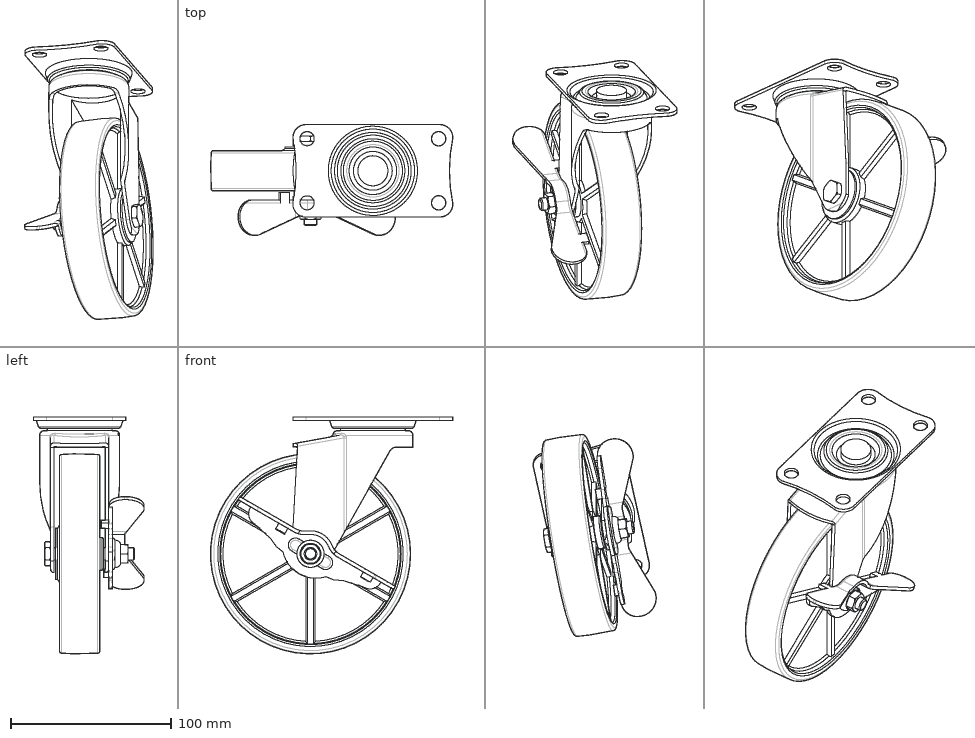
import cadquery as cq
import math


axle_radius = 4.0
swivel_x = 39.0

wheel_radius = 62.5
tread_edge_radius = 62.1
tread_half_width = 11.2
rim_half_width = 12.5
rim_shoulder_radius = 60.5
rim_lip_radius = 57.9
web_radius = 54.7
web_half_thickness = 8.0
web_fillet_height = 1.4
lip_chamfer = (1.2, 0.8)
tread_corner = (-0.5, 1.0)
rib_half_thickness = 10.6
rib_count = 6
rib_root_half_width = 2.9
rib_top_half_width = 1.8
hub_radius = 13.6
hub_root_radius = 14.2
rear_hub_radius = 17.9
rear_hub_face_radius = 16.0
rear_hub_cone_y = 13.8
hub_half_width = 15.0
front_boss_radius = 10.3
front_boss_chamfer = 0.9

sheet = 2.3
fork_inner = 15.9
fork_outer = fork_inner + sheet
leg_end_radius = 11.8
leg_front_x = -8.2
skirt_radius = 25.0
skirt_bottom = 66.5
crown_top = 77.0
crown_round = 3.0
ramp_slope = 0.18
ramp_height = 70.8
lip_x = -10.9
slant_top_x = 50.9
bend_radius = 2.1
crease_fillet = 2.3
skirt_corner_fillet = 4.5
collar_radius = 20.3
kingpin_radius = 9.4

plate_top = 85.5
plate_length = 100.0
plate_width = 57.9
plate_corner = 8.3
plate_waist = 2.1
hole_diameter = 8.8
hole_spacing_x = 82.1
hole_spacing_y = 40.0
bowl_bottom = 78.2
bowl_edge = 27.9
groove_floor = bowl_bottom + sheet
pin_seat = groove_floor + 0.6
ring_top = plate_top - 0.5
bowl_section = [
    (kingpin_radius, bowl_bottom),
    (kingpin_radius, pin_seat),
    (12.1, pin_seat),
    (14.8, ring_top - 0.5),
    (16.4, ring_top),
    (18.5, ring_top),
    (20.0, ring_top - 0.8),
    (22.3, groove_floor),
    (24.0, groove_floor),
    (26.0, plate_top - 0.9),
    (bowl_edge, plate_top),
    (bowl_edge, plate_top - sheet),
    (27.1, plate_top - sheet),
    (25.8, bowl_bottom + 1.0),
    (24.7, bowl_bottom),
]

lever_tilt = 30
lever_back = -fork_outer
lever_front = lever_back - sheet
boss_front = -22.0
flange_top = 9.0
arch_radius = 14.4
arch_blend = 12.1
lever_bend_radius = 2.0
lever_half_length = 47.0
lever_lower_edge = [
    (lever_half_length, 6.0), (44.8, 0.9), (39.4, -1.4), (26.2, -4.2), (20.6, -6.8), (15.5, -7.5),
]
ear_half_length = 56.0
ear_front = -40.5
flange_front = -28.2
ear_root = (12.9, flange_front)
ear_lobe_start = (42.4, -40.1)
ear_lobe_mid = (52.4, -37.3)
ear_tip = (ear_half_length, -28.0)
ear_shoulder = (53.8, -21.8)
ear_base = (lever_half_length, lever_back)
boss_half_spacing = 10.9
boss_radius = 4.4
boss_round = 1.4

stop_tabs = [(-26.7, -20.1, -13.5, 2.4), (34.2, 41.2, -15.0, 3.3)]

bolt_end = -34.2
bolt_chamfer = 0.8
head_top = 21.8
head_corners = 15.2
nut_flange_radius = 8.5
nut_flange_shoulder = (8.0, -24.1)
nut_flange_top_radius = 6.5
nut_flange_front = -25.5
nut_front = -30.3
nut_corners = 13.3
hex_chamfer = 0.6


def along_y(profile, y_from, y_to):
    """Extrude an XZ-plane outline from y_from towards -Y, down to y_to."""
    return profile.extrude(y_from - y_to).translate((0, y_from, 0))


def rod(radius, y_from, y_to):
    """Cylinder on the wheel axis."""
    return along_y(cq.Workplane("XZ").circle(radius), y_from, y_to)


def near(axis, first, second):
    """Selector for edges along Y at (x, z), or along Z at (x, y)."""
    reach = 0.5
    span = 2 * plate_length
    low, high = (first - reach, second - reach), (first + reach, second + reach)
    if axis == "Y":
        return cq.selectors.BoxSelector((low[0], -span, low[1]), (high[0], span, high[1]))
    return cq.selectors.BoxSelector((low[0], low[1], -span), (high[0], high[1], span))


def hex_prism(corners, y_from, y_to, turn=0):
    """Hexagon on the wheel axis with its corners chamfered at both ends."""
    prism = along_y(cq.Workplane("XZ").polygon(6, corners), y_from, y_to)
    envelope = rod(corners / 2, y_from, y_to).faces("<Y or >Y").chamfer(hex_chamfer)
    return prism.intersect(envelope).rotate((0, 0, 0), (0, 1, 0), turn)


def rim_inside(side):
    """Rim points from the web out to the lip on one side (-1 front, +1 rear), as (radius, y)."""
    return [
        (web_radius, side * web_half_thickness),
        (web_radius + web_fillet_height, side * (web_half_thickness + web_fillet_height)),
        (rim_lip_radius - lip_chamfer[0], side * (rim_half_width - lip_chamfer[1])),
        (rim_lip_radius, side * rim_half_width),
        (rim_shoulder_radius, side * rim_half_width),
    ]


def make_wheel():
    front_hub = [
        (axle_radius, -hub_half_width),
        (front_boss_radius - front_boss_chamfer, -hub_half_width),
        (front_boss_radius, -hub_half_width + front_boss_chamfer),
        (front_boss_radius, -rib_half_thickness),
        (hub_radius, -rib_half_thickness),
        (hub_root_radius, -web_half_thickness),
    ]
    rear_hub = [
        (rear_hub_radius, web_half_thickness),
        (rear_hub_radius, rim_half_width),
        (rear_hub_face_radius, rear_hub_cone_y),
        (rear_hub_face_radius, hub_half_width),
        (axle_radius, hub_half_width),
    ]
    corner_radius = tread_edge_radius + tread_corner[0]
    corner_y = tread_half_width + tread_corner[1]
    section = (
        cq.Workplane("XY")
        .polyline(front_hub + rim_inside(-1))
        .threePointArc((corner_radius, -corner_y), (tread_edge_radius, -tread_half_width))
        .threePointArc((wheel_radius, 0), (tread_edge_radius, tread_half_width))
        .threePointArc((corner_radius, corner_y), (rim_shoulder_radius, rim_half_width))
    )
    for point in rim_inside(1)[-2::-1] + rear_hub:
        section = section.lineTo(*point)
    wheel = section.close().revolve(360, (0, 0), (0, 1))
    front_rib = [
        (-rib_root_half_width, -web_half_thickness),
        (-rib_top_half_width, -rib_half_thickness),
        (rib_top_half_width, -rib_half_thickness),
        (rib_root_half_width, -web_half_thickness),
    ]
    rear_rib = [(x, -y) for x, y in reversed(front_rib)]
    rib_start = front_boss_radius
    rib_end = rim_lip_radius - lip_chamfer[0]
    rib = (
        cq.Workplane("XY").workplane(offset=rib_start)
        .polyline(front_rib + rear_rib).close().extrude(rib_end - rib_start)
    )
    for index in range(rib_count):
        wheel = wheel.union(rib.rotate((0, 0, 0), (0, 1, 0), index * 360 / rib_count))
    return wheel


def crown_cylinder(radius, top):
    """Vertical cylinder on the swivel axis reaching below the axle."""
    return (
        cq.Workplane("XY").workplane(offset=-leg_end_radius)
        .center(swivel_x, 0).circle(radius).extrude(top + leg_end_radius)
    )


def leg_block(half_width, drop, x_front):
    """Block between the leg faces under the sloping ramp, lowered by `drop`."""
    x_back = swivel_x - skirt_radius / 2
    outline = (
        cq.Workplane("XZ")
        .moveTo(x_front, -leg_end_radius)
        .lineTo(x_back, -leg_end_radius)
        .lineTo(x_back, ramp_height + ramp_slope * x_back - drop)
        .lineTo(x_front, ramp_height + ramp_slope * x_front - drop)
        .close()
    )
    return along_y(outline, half_width, -half_width)


def tangent_point(x, z, side):
    """Point where a line from (x, z) touches the round leg end; side is +1 or -1."""
    angle = math.atan2(z, x) + side * math.acos(leg_end_radius / math.hypot(x, z))
    return leg_end_radius * math.cos(angle), leg_end_radius * math.sin(angle)


def fork_side_outline():
    front_foot = tangent_point(leg_front_x, skirt_bottom, 1)
    rear_foot = tangent_point(slant_top_x, skirt_bottom, -1)
    outline = (
        cq.Workplane("XZ")
        .moveTo(*front_foot)
        .threePointArc((0, -leg_end_radius), rear_foot)
        .lineTo(slant_top_x, skirt_bottom)
        .lineTo(swivel_x + skirt_radius, skirt_bottom)
        .lineTo(swivel_x + skirt_radius, plate_top)
        .lineTo(lip_x, plate_top)
        .lineTo(lip_x, skirt_bottom)
        .lineTo(leg_front_x, skirt_bottom)
        .close()
    )
    prism = along_y(outline, skirt_radius, -skirt_radius)
    return prism.edges(near("Y", slant_top_x, skirt_bottom)).fillet(skirt_corner_fillet)


def make_fork():
    crown = crown_cylinder(skirt_radius, crown_top).faces(">Z").edges().fillet(crown_round)
    legs = leg_block(fork_outer, 0, lip_x)
    legs = legs.faces(">Z").edges("not |Y").fillet(bend_radius)
    hollow = crown_cylinder(skirt_radius - sheet, crown_top - sheet)
    hollow = hollow.union(leg_block(fork_inner, sheet, lip_x - 1.5))
    crease_x = swivel_x - math.sqrt(skirt_radius ** 2 - fork_outer ** 2)
    body = crown.union(legs)
    for side in (-1, 1):
        body = body.edges(near("Z", crease_x, side * fork_outer)).fillet(crease_fillet)
    fork = body.cut(hollow).intersect(fork_side_outline())
    bow = (
        cq.Workplane("XY")
        .moveTo(leg_front_x, -fork_outer)
        .threePointArc((lip_x, 0), (leg_front_x, fork_outer))
        .lineTo(lip_x - 1.5, fork_outer)
        .lineTo(lip_x - 1.5, -fork_outer)
        .close().extrude(plate_top - skirt_bottom + 1.5).translate((0, 0, skirt_bottom - 0.2))
    )
    fork = fork.cut(bow)
    collar = (
        cq.Workplane("XY").workplane(offset=crown_top - sheet)
        .center(swivel_x, 0).circle(collar_radius).extrude(bowl_bottom - crown_top + sheet)
    )
    kingpin = (
        cq.Workplane("XY").workplane(offset=crown_top)
        .center(swivel_x, 0).circle(kingpin_radius).extrude(plate_top - crown_top)
    )
    fork = fork.union(collar).union(kingpin)
    return fork.cut(rod(axle_radius, skirt_radius, -skirt_radius))


def make_plate():
    half_length = plate_length / 2
    half_width = plate_width / 2
    straight_y = half_width - plate_corner
    waist_x = half_length - plate_waist
    blank = (
        cq.Workplane("XY")
        .moveTo(-half_length + plate_corner, -half_width)
        .lineTo(half_length - plate_corner, -half_width)
        .radiusArc((half_length, -straight_y), -plate_corner)
        .threePointArc((waist_x, 0), (half_length, straight_y))
        .radiusArc((half_length - plate_corner, half_width), -plate_corner)
        .lineTo(-half_length + plate_corner, half_width)
        .radiusArc((-half_length, straight_y), -plate_corner)
        .threePointArc((-waist_x, 0), (-half_length, -straight_y))
        .radiusArc((-half_length + plate_corner, -half_width), -plate_corner)
        .close().extrude(sheet)
        .faces(">Z").workplane()
        .rect(hole_spacing_x, hole_spacing_y, forConstruction=True).vertices().hole(hole_diameter)
        .translate((0, 0, plate_top - sheet))
    )
    blank = blank.cut(
        cq.Workplane("XY").workplane(offset=bowl_bottom).circle(bowl_edge).extrude(plate_top - bowl_bottom))
    bowl = cq.Workplane("XZ").polyline(bowl_section).close().revolve(360, (0, 0), (0, 1))
    return blank.union(bowl).translate((swivel_x, 0, 0))


def flange_profile(top, arch, blend):
    """Region below the level flange line and the arch over the axle, with blended corners."""
    bar = cq.Workplane("XZ").center(0, (top - arch_radius) / 2).rect(2 * ear_half_length, top + arch_radius)
    body = along_y(bar, lever_back, ear_front).union(rod(arch, lever_back, ear_front))
    half_span = math.sqrt(arch ** 2 - top ** 2)
    for side in (-1, 1):
        body = body.edges(near("Y", side * half_span, top)).fillet(blend)
    return body


def lever_face():
    """Flat face of the lever as an XZ outline reaching above the flange."""
    tip, tip_mid, *edge = lever_lower_edge
    outline = cq.Workplane("XZ").moveTo(-tip[0], tip[1])
    outline = outline.threePointArc((-tip_mid[0], tip_mid[1]), (-edge[0][0], edge[0][1]))
    for x, z in edge[1:]:
        outline = outline.lineTo(-x, z)
    outline = outline.threePointArc((0, -arch_radius), edge[-1])
    for point in edge[-2::-1]:
        outline = outline.lineTo(*point)
    outline = (
        outline.threePointArc(tip_mid, tip)
        .lineTo(tip[0], arch_radius)
        .lineTo(-tip[0], arch_radius)
        .close()
    )
    return along_y(outline, lever_back, lever_front)


def ear_plan():
    """Outline of the flange and its two pedal ears, seen along the ear normal."""
    corners = [ear_root, ear_lobe_start, ear_lobe_mid, ear_tip, ear_shoulder, ear_base]
    mirrored = [(-x, y) for x, y in corners]
    outline = (
        cq.Workplane("XY")
        .moveTo(*mirrored[0])
        .lineTo(*corners[0])
        .lineTo(*corners[1])
        .threePointArc(corners[2], corners[3])
        .threePointArc(corners[4], corners[5])
        .lineTo(*mirrored[5])
        .threePointArc(mirrored[4], mirrored[3])
        .threePointArc(mirrored[2], mirrored[1])
        .close()
    )
    return outline.extrude(arch_radius)


def make_lever():
    outer = flange_profile(flange_top, arch_radius, arch_blend)
    inner = flange_profile(flange_top - sheet, arch_radius - sheet, arch_blend + sheet)
    bend_edges = cq.selectors.BoxSelector(
        (-ear_half_length, lever_back - 0.2, flange_top - 0.2),
        (ear_half_length, lever_back + 0.2, arch_radius + 0.2))
    outer = outer.edges(bend_edges).fillet(lever_bend_radius)
    flange = outer.cut(inner).intersect(ear_plan())
    lever = lever_face().intersect(outer).union(flange)
    for tab_from, tab_to, tab_back, window_bottom in stop_tabs:
        width = tab_to - tab_from
        middle = (tab_from + tab_to) / 2
        depth = tab_back - lever_front
        tab = cq.Workplane("XY").box(width, depth, sheet).translate(
            (middle, (tab_back + lever_front) / 2, flange_top - sheet / 2))
        window_height = flange_top - sheet - window_bottom
        window = cq.Workplane("XY").box(width, 2 * depth, window_height).translate(
            (middle, lever_front, window_bottom + window_height / 2))
        lever = lever.cut(window).union(tab)
    pad = along_y(
        cq.Workplane("XZ").slot2D(2 * (boss_half_spacing + boss_radius), 2 * boss_radius),
        lever_front + 0.2, boss_front)
    pad = pad.faces("<Y").edges().fillet(boss_round)
    lever = lever.union(pad).cut(rod(axle_radius, 0, ear_front))
    return lever.rotate((0, 0, 0), (0, 1, 0), lever_tilt)


def make_bolt():
    shank = rod(axle_radius, fork_outer, bolt_end).faces("<Y").chamfer(bolt_chamfer)
    return shank.union(hex_prism(head_corners, head_top, fork_outer, 30))


def make_nut():
    flange = (
        cq.Workplane("XY")
        .moveTo(0, boss_front)
        .lineTo(nut_flange_radius, boss_front)
        .threePointArc(nut_flange_shoulder, (nut_flange_top_radius, nut_flange_front))
        .lineTo(0, nut_flange_front)
        .close().revolve(360, (0, 0), (0, 1))
    )
    nut = flange.union(hex_prism(nut_corners, boss_front, nut_front))
    return nut.cut(rod(axle_radius, 0, bolt_end))


wheel = make_wheel()
fork = make_fork()
plate = make_plate()
lever = make_lever()
bolt = make_bolt()
nut = make_nut()
bodies = [wheel, fork, plate, lever, bolt, nut]
result = cq.Compound.makeCompound([body.solids().val() for body in bodies])